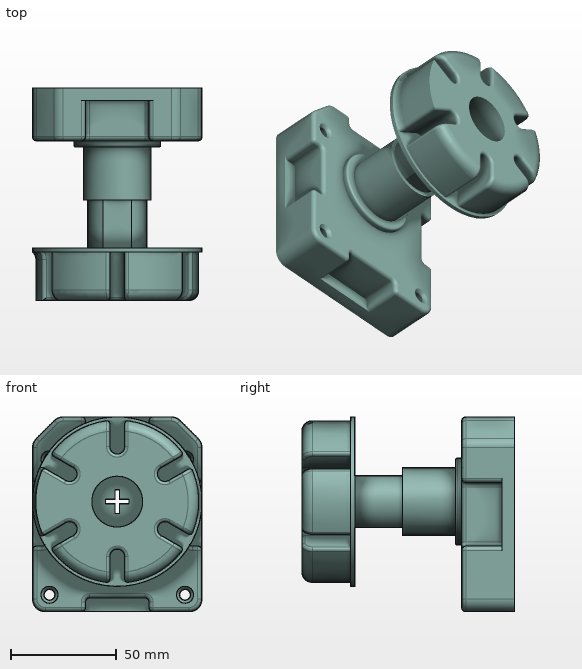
import cadquery as cq
import math


plate_width = 80.0
plate_height = 92.0
plate_top = plate_width / 2
plate_centre_z = plate_top - plate_height / 2
plate_thickness = 25.0
plate_chamfer = 12.0
corner_radius = 6.0
edge_radius = 2.0
pocket_width = 30.0
pocket_depth = 6.5
pocket_back_wall = 6.0
screw_pitch = 64.0
screw_centre_z = -12.0
screw_hole_diameter = 5.0
screw_sink_diameter = 8.0
screw_sink_angle = 90.0

bushing_flange_diameter = 41.0
bushing_flange_thickness = 3.0
bushing_flange_round = 1.0
collar_diameter = 32.0
collar_length = 25.0

shaft_diameter = 28.0
shaft_across_flats = 24.6
shaft_exposed_length = 22.5
knob_flange_radius = 40.0
knob_flange_thickness = 2.0
grip_radius = 38.5
grip_length = 23.0
grip_round = 5.0
bore_diameter = 24.0
slot_count = 6
slot_width = 7.0
slot_end_radius = 26.0
slot_edge_round = 1.5

cross_span = 11.0
cross_bar = 2.0

plate_front = plate_thickness
bushing_step = plate_front + bushing_flange_thickness
collar_front = bushing_step + collar_length
shaft_front = collar_front + shaft_exposed_length
grip_back = shaft_front + knob_flange_thickness
grip_front = grip_back + grip_length

tolerance = 0.01


def plane_at(station):
    """Sketch plane across the axis: local x is X, local y is Z, extrusion runs toward -Y."""
    return cq.Workplane("XZ", origin=(0, -station, 0))


def cylinder(diameter, start, end):
    return plane_at(start).circle(diameter / 2).extrude(end - start)


def plate_blank():
    """Rectangular block with two chamfered upper corners and all corners rounded."""
    half_width = plate_width / 2
    bottom = plate_top - plate_height
    outline = [
        (-half_width, bottom),
        (half_width, bottom),
        (half_width, plate_top - plate_chamfer),
        (half_width - plate_chamfer, plate_top),
        (plate_chamfer - half_width, plate_top),
        (-half_width, plate_top - plate_chamfer),
    ]
    return plane_at(0).polyline(outline).close().extrude(plate_thickness).edges("|Y").fillet(corner_radius)


def edge_pockets():
    """One open pocket in the middle of each of the four plate edges."""
    length = plate_thickness - pocket_back_wall
    sketch = plane_at(pocket_back_wall)
    pockets = []
    for side in (-1, 1):
        level = sketch.center(side * plate_width / 2, plate_centre_z)
        pockets.append(level.rect(2 * pocket_depth, pocket_width).extrude(length))
        upright = sketch.center(0, plate_centre_z + side * plate_height / 2)
        pockets.append(upright.rect(pocket_width, 2 * pocket_depth).extrude(length))
    return pockets


def make_plate():
    plate = plate_blank()
    for pocket in edge_pockets():
        plate = plate.cut(pocket)
    pocket_edges = cq.selectors.BoxSelector(
        (-plate_width, -pocket_back_wall - tolerance, -plate_height),
        (plate_width, -plate_thickness, plate_height),
    )
    plate = plate.edges("|Y").edges(pocket_edges).fillet(edge_radius)
    plate = plate.faces("<Y").edges().fillet(edge_radius)
    plate = (
        plate.copyWorkplane(plane_at(plate_front).center(0, screw_centre_z))
        .rect(screw_pitch, screw_pitch, forConstruction=True)
        .vertices()
        .cskHole(screw_hole_diameter, screw_sink_diameter, screw_sink_angle)
    )
    return plate.cut(cylinder(shaft_diameter, 0, plate_front))


def make_bushing():
    """Flanged sleeve; its round bore leaves a gap over each flat of the shaft."""
    flange = cylinder(bushing_flange_diameter, plate_front, bushing_step)
    flange = flange.faces("<Y").edges().fillet(bushing_flange_round)
    collar = cylinder(collar_diameter, bushing_step, collar_front)
    return flange.union(collar).cut(cylinder(shaft_diameter, plate_front, collar_front))


def turned_sector(half_section, angle, middle_angle):
    """Revolve a half section drawn on the -X side about Y, centred on an angle away from -X."""
    sector = half_section.revolve(angle, (0, 0), (0, 1))
    return sector.rotate((0, 0, 0), (0, 1, 0), middle_angle - angle / 2)


def grip_blank():
    """Round grip whose front rim is rounded, except on the sector facing -X.

    That sector keeps a sharp rim and has a concave round at its foot that runs out at the flange edge.
    """
    sharp_angle = 360 / slot_count
    rounded = (
        cq.Workplane("XY")
        .moveTo(0, -grip_back)
        .lineTo(-grip_radius, -grip_back)
        .lineTo(-grip_radius, grip_round - grip_front)
        .radiusArc((grip_round - grip_radius, -grip_front), -grip_round)
        .lineTo(0, -grip_front)
        .close()
    )

    cove_overhang = grip_radius + grip_round - knob_flange_radius
    cove_height = math.sqrt(grip_round**2 - cove_overhang**2)
    sharp = (
        cq.Workplane("XY")
        .moveTo(0, -grip_back)
        .lineTo(-knob_flange_radius, -grip_back)
        .radiusArc((-grip_radius, -grip_back - cove_height), grip_round)
        .lineTo(-grip_radius, -grip_front)
        .lineTo(0, -grip_front)
        .close()
    )
    rounded = turned_sector(rounded, 360 - sharp_angle, 180)
    return rounded.union(turned_sector(sharp, sharp_angle, 0))


def slot_edge_selector():
    """Edges of the slot on +Z: its outline on the front face, and its two upright edges at the rim."""
    side = slot_width / 2 + tolerance
    slot_floor = slot_end_radius - slot_width / 2 - tolerance
    front_outline = cq.selectors.BoxSelector(
        (-side, -grip_front - tolerance, slot_floor),
        (side, -grip_front + tolerance, knob_flange_radius),
    )
    rim_edges = cq.selectors.BoxSelector(
        (-side, -grip_front, slot_end_radius + tolerance),
        (side, -grip_back - tolerance, knob_flange_radius),
    )
    return front_outline + rim_edges


def make_grip():
    """Grip with round-ended radial slots, open at the rim; it is turned to bring each slot to +Z."""
    slot_reach = knob_flange_radius
    slot = plane_at(grip_back).center(0, slot_end_radius + slot_reach / 2)
    slot = slot.slot2D(slot_reach + slot_width, slot_width, 90).extrude(grip_length)
    grip = grip_blank()
    for _ in range(slot_count):
        grip = grip.cut(slot)
        grip = grip.edges(slot_edge_selector()).fillet(slot_edge_round)
        grip = grip.rotate((0, 0, 0), (0, 1, 0), 360 / slot_count)
    return grip


def flattened_shaft():
    """Round shaft with two flats facing +Z and -Z, running from the back of the plate to the knob flange."""
    flats = plane_at(0).rect(shaft_diameter, shaft_across_flats).extrude(shaft_front)
    return cylinder(shaft_diameter, 0, shaft_front).intersect(flats)


def make_knob():
    """Grip, flange and shaft in one piece, with the grip bore leading to the cross passage."""
    flange = cylinder(2 * knob_flange_radius, shaft_front, grip_back)
    knob = flattened_shaft().union(flange).union(make_grip())
    upright = plane_at(0).rect(cross_bar, cross_span).extrude(grip_back)
    level = plane_at(0).rect(cross_span, cross_bar).extrude(grip_back)
    bore = cylinder(bore_diameter, grip_back, grip_front)
    return knob.cut(bore).cut(upright).cut(level)


plate = make_plate()
bushing = make_bushing()
knob = make_knob()
result = cq.Compound.makeCompound([plate.val(), bushing.val(), knob.val()])